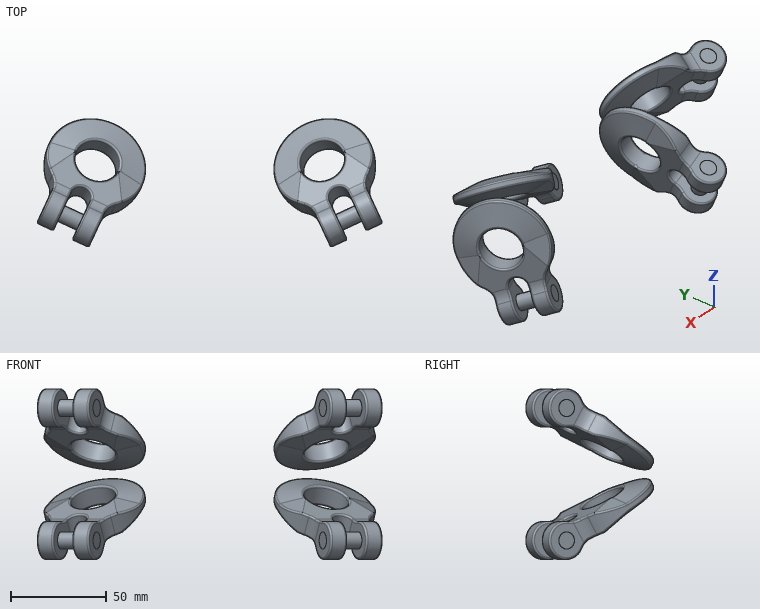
import cadquery as cq
import math

ear_radius = 10.0
fork_width = 30.0
fork_gap = 11.0
slot_depth = 17.0
pin_diameter = 9.0

plate_thickness = 12.0
ring_distance = 35.0
ring_radius = 26.75
ring_hole_diameter = 24.0
rim_thickness = 3.9
flat_edge_angle = 39.0

neck_radius = 10.0
ear_blend_radius = 11.0
edge_fillet = 1.0

pin_offset_x = 72.81
pin_offset_z = 34.695
link_tilt = 30.0
link_yaw = 25.0
sides = (-1, 1)

cut_margin = 2.0

half_thickness = plate_thickness / 2
half_rim = rim_thickness / 2
half_width = fork_width / 2
hole_radius = ring_hole_diameter / 2
blank_height = ear_radius + cut_margin



def plan_blank():
    """Fork outline blended into the ring disc, seen along the plate normal."""
    reach = ring_radius + neck_radius
    blend_x = half_width + neck_radius
    blend_drop = math.sqrt(reach ** 2 - blend_x ** 2)
    blend_y = ring_distance - blend_drop
    touch_x = blend_x * ring_radius / reach
    touch_y = ring_distance - blend_drop * ring_radius / reach
    middle_angle = math.pi - math.atan2(blend_drop, blend_x) / 2
    middle_x = blend_x + neck_radius * math.cos(middle_angle)
    middle_y = blend_y + neck_radius * math.sin(middle_angle)
    return (
        cq.Workplane("XY", origin=(0, 0, -blank_height))
        .moveTo(-half_width, -blank_height)
        .lineTo(half_width, -blank_height)
        .lineTo(half_width, blend_y)
        .threePointArc((middle_x, middle_y), (touch_x, touch_y))
        .threePointArc((0, ring_distance + ring_radius), (-touch_x, touch_y))
        .threePointArc((-middle_x, middle_y), (-half_width, blend_y))
        .close()
        .extrude(2 * blank_height)
    )


def side_blank():
    """Ear circle blended into the flat plate, seen along the pin."""
    reach = ear_radius + ear_blend_radius
    blend_z = half_thickness + ear_blend_radius
    blend_y = math.sqrt(reach ** 2 - blend_z ** 2)
    touch_y = blend_y * ear_radius / reach
    touch_z = blend_z * ear_radius / reach
    middle_angle = (math.atan2(blend_z, blend_y) - 3 * math.pi / 2) / 2
    middle_y = blend_y + ear_blend_radius * math.cos(middle_angle)
    middle_z = blend_z + ear_blend_radius * math.sin(middle_angle)
    plate_end = ring_distance + ring_radius + cut_margin
    blank_width = ring_radius + cut_margin
    return (
        cq.Workplane("YZ", origin=(-blank_width, 0, 0))
        .moveTo(touch_y, touch_z)
        .threePointArc((middle_y, middle_z), (blend_y, half_thickness))
        .lineTo(plate_end, half_thickness)
        .lineTo(plate_end, -half_thickness)
        .lineTo(blend_y, -half_thickness)
        .threePointArc((middle_y, -middle_z), (touch_y, -touch_z))
        .threePointArc((-ear_radius, 0), (touch_y, touch_z))
        .close()
        .extrude(2 * blank_width)
    )


def conical_taper():
    """Cutter that thins the far half of the ring from the hole to the outer edge."""
    outer = ring_radius + cut_margin
    slope = (half_thickness - half_rim) / (ring_radius - hole_radius)
    outer_height = half_thickness - slope * (outer - hole_radius)
    return (
        cq.Workplane("XZ")
        .polyline([
            (hole_radius, half_thickness),
            (outer, outer_height),
            (outer, half_thickness),
        ])
        .close()
        .revolve(180, (0, 0, 0), (0, 1, 0))
        .translate((0, ring_distance, 0))
    )


def ring_point(radius, angle, height):
    """Point around the ring centre, the angle running from +X towards the fork."""
    turn = math.radians(angle)
    return cq.Vector(radius * math.cos(turn), ring_distance - radius * math.sin(turn), height)


def corner_taper():
    """Tetrahedral cutter whose sloping plane runs the taper out into the flat, on the +X side."""
    overreach = 1.3
    start = ring_point(hole_radius, 0, half_thickness)
    low_edge = ring_point(ring_radius, 0, half_rim)
    high_edge = ring_point(ring_radius, flat_edge_angle, half_thickness)
    low = start + (low_edge - start) * overreach
    high = start + (high_edge - start) * overreach
    above = cq.Vector(low.x, low.y, half_thickness)
    faces = [
        cq.Face.makeFromWires(cq.Wire.makePolygon(corners, close=True))
        for corners in (
            (start, low, high),
            (start, low, above),
            (low, high, above),
            (start, high, above),
        )
    ]
    return cq.Workplane(cq.Solid.makeSolid(cq.Shell.makeShell(faces)).fix())


def fork_slot():
    """Gap between the ears, with a round bottom."""
    end_radius = fork_gap / 2
    end_centre = slot_depth - end_radius
    return (
        cq.Workplane("XY", origin=(0, 0, -blank_height))
        .moveTo(-end_radius, -blank_height)
        .lineTo(end_radius, -blank_height)
        .lineTo(end_radius, end_centre)
        .threePointArc((0, slot_depth), (-end_radius, end_centre))
        .close()
        .extrude(2 * blank_height)
    )


def ring_hole():
    return (
        cq.Workplane("XY", origin=(0, ring_distance, -blank_height))
        .circle(hole_radius)
        .extrude(2 * blank_height)
    )


def make_pin():
    """Plain pin, flush with the outer faces of the ears."""
    return (
        cq.Workplane("YZ", origin=(-half_width, 0, 0))
        .circle(pin_diameter / 2)
        .extrude(fork_width)
    )


def make_link():
    link = plan_blank().intersect(side_blank())
    corner = corner_taper()
    for cutter in (conical_taper(), corner, corner.mirror("YZ")):
        link = link.cut(cutter).cut(cutter.mirror("XY"))
    link = link.cut(fork_slot()).cut(ring_hole())
    link = link.edges("not %LINE").fillet(edge_fillet)
    return link.cut(make_pin()).solids()


def place(body, side_x, side_z):
    """Tilt and turn a body about the middle of the pin, then move it to its corner."""
    return (
        body.rotate((0, 0, 0), (1, 0, 0), -side_z * link_tilt)
        .rotate((0, 0, 0), (0, 0, 1), side_x * link_yaw)
        .translate((side_x * pin_offset_x, 0, side_z * pin_offset_z))
    )


link = make_link()
pin = make_pin()

bodies = []
for side_x in sides:
    for side_z in sides:
        bodies.append(place(link, side_x, side_z).val())
        bodies.append(place(pin, side_x, side_z).val())

result = cq.Compound.makeCompound(bodies)